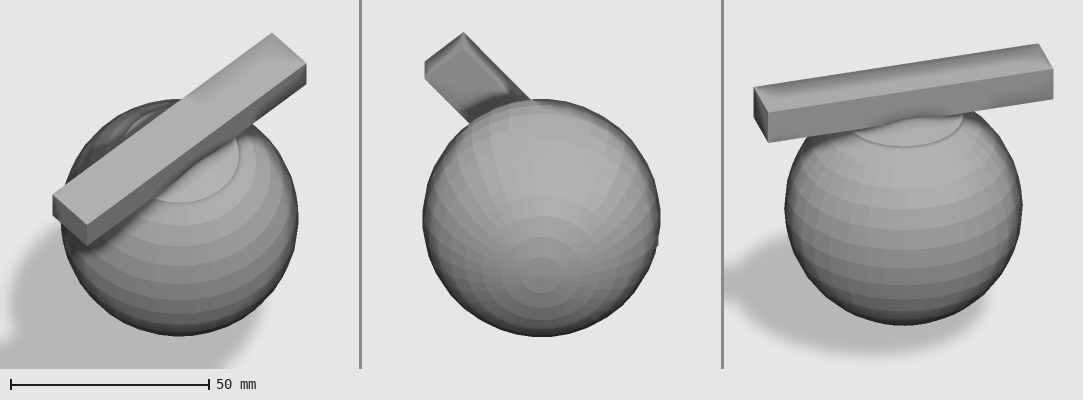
import cadquery as cq
import math

ball_width = 60.0
ball_height = 60.0
ball_sides = 36
facet_angle = 360 / ball_sides
ball_bands = ball_sides // 2
ring_radius = ball_width / 2 / math.cos(math.radians(facet_angle / 2))
pole_radius = ball_height / 2

cone_base_radius = 15.0
cone_base_z = 26.9
cone_height = 5.0
cone_sides = 64

bar_width = 13.0
bar_length = 75.0
bar_height = 9.0
bar_top_z = 38.0


def flat_face(points):
    return cq.Face.makeFromWires(cq.Wire.makePolygon(points, close=True))


def solid_from_faces(faces):
    return cq.Workplane(cq.Solid.makeSolid(cq.Shell.makeShell(faces)))


def ring(radius, z, sides, start_angle):
    """Corners of a level regular polygon centred on the Z axis."""
    angles = [math.radians(start_angle + 360 * i / sides) for i in range(sides)]
    return [cq.Vector(radius * math.cos(a), radius * math.sin(a), z) for a in angles]


def fan(corners, apex):
    """Triangles joining each side of a polygon to one point."""
    return [flat_face([corners[i - 1], corners[i], apex]) for i in range(len(corners))]


def band(lower, upper):
    """Four-sided facets joining two parallel polygons."""
    return [
        flat_face([lower[i - 1], lower[i], upper[i], upper[i - 1]])
        for i in range(len(lower))
    ]


def make_ball():
    rings = []
    for step in range(1, ball_bands):
        latitude = math.radians(-90 + step * 180 / ball_bands)
        radius = ring_radius * math.cos(latitude)
        z = pole_radius * math.sin(latitude)
        rings.append(ring(radius, z, ball_sides, facet_angle / 2))
    faces = fan(rings[0], cq.Vector(0, 0, -pole_radius))
    for lower, upper in zip(rings, rings[1:]):
        faces += band(lower, upper)
    faces += fan(rings[-1], cq.Vector(0, 0, pole_radius))
    return solid_from_faces(faces)


def make_cone():
    base = ring(cone_base_radius, cone_base_z, cone_sides, 0)
    apex = cq.Vector(0, 0, cone_base_z + cone_height)
    return solid_from_faces(fan(base, apex) + [flat_face(base)])


def make_bar():
    bar = cq.Workplane("XY").box(bar_width, bar_length, bar_height)
    return bar.translate((0, 0, bar_top_z - bar_height / 2))


result = make_ball().union(make_cone()).union(make_bar())